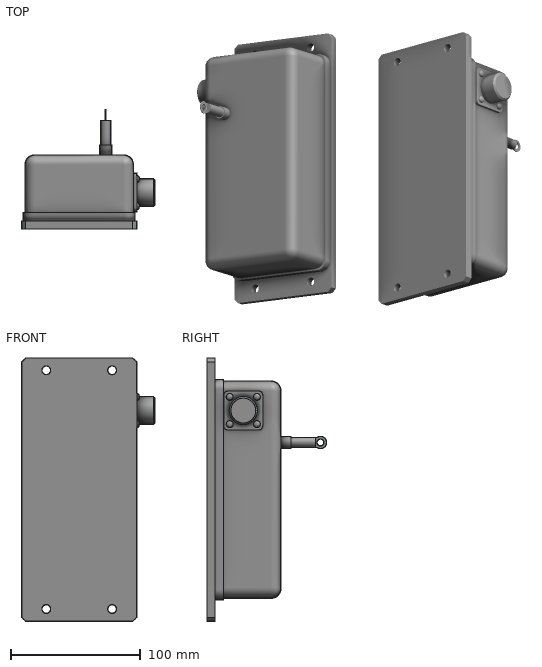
import cadquery as cq

PLATE_WIDTH = 88.9
PLATE_HEIGHT = 203.2
PLATE_THICKNESS = 6.35
PLATE_CHAMFER = 3.175
MOUNT_HOLE_DIAMETER = 6.53
MOUNT_HOLE_SPACING_X = 50.8
MOUNT_HOLE_SPACING_Z = 184.15

CASE_WIDTH = 83.82
CASE_HEIGHT = 167.64
CASE_BACK_Y = 57.15
CASE_RADIUS = 7.62
LIP_OVERHANG = 1.27
LIP_THICKNESS = 6.35

CONNECTOR_Y = 28.1
CONNECTOR_Z = 61.0
CONNECTOR_REACH = 13.97
CONNECTOR_DIAMETER = 21.74
CONNECTOR_CHAMFER = 1.27
FLANGE_SIZE = 30.0
FLANGE_CORNER_RADIUS = 3.175
FLANGE_EMBED = 1.27
SCREW_SPACING = 21.0
SCREW_HEAD_DIAMETER = 5.38
SCREW_HEAD_FLAT_DIAMETER = 1.57

CABLE_X = 20.45
CABLE_Z = 36.4
COLLAR_DIAMETER = 9.53
COLLAR_LENGTH = 7.62
CABLE_DIAMETER = 7.92
CABLE_LENGTH = 19.05
RING_DIAMETER = 9.53
RING_HOLE_DIAMETER = 5.08
RING_THICKNESS = 0.8
OVERALL_DEPTH = 92.37

FLANGE_FACE_X = PLATE_WIDTH / 2
SCREW_HEAD_RADIUS = (SCREW_HEAD_DIAMETER - SCREW_HEAD_FLAT_DIAMETER) / 2
LIP_BACK_Y = PLATE_THICKNESS + LIP_THICKNESS
COLLAR_END_Y = CASE_BACK_Y + COLLAR_LENGTH
CABLE_END_Y = COLLAR_END_Y + CABLE_LENGTH
RING_CENTER_Y = OVERALL_DEPTH - RING_DIAMETER / 2


def block_along_y(width, height, start_y, end_y):
    """Box centred on x = z = 0, running from start_y to end_y."""
    return cq.Workplane("XY").box(width, end_y - start_y, height).translate((0, (start_y + end_y) / 2, 0))


def cylinder_along_y(diameter, start_y, end_y):
    """Cylinder on the cable axis, running from start_y to end_y."""
    axis = cq.Workplane("XZ", origin=(CABLE_X, start_y, CABLE_Z))
    return axis.circle(diameter / 2).extrude(start_y - end_y)


def side_plane(x):
    """YZ work plane at the given x, centred on the connector axis."""
    return cq.Workplane("YZ", origin=(x, CONNECTOR_Y, CONNECTOR_Z))


def make_plate():
    plate = block_along_y(PLATE_WIDTH, PLATE_HEIGHT, 0, PLATE_THICKNESS)
    return plate.edges("|Y").chamfer(PLATE_CHAMFER)


def make_mount_holes():
    holes = cq.Workplane("XZ").rarray(MOUNT_HOLE_SPACING_X, MOUNT_HOLE_SPACING_Z, 2, 2)
    return holes.circle(MOUNT_HOLE_DIAMETER / 2).extrude(-PLATE_THICKNESS)


def make_case():
    lip = block_along_y(
        CASE_WIDTH + 2 * LIP_OVERHANG,
        CASE_HEIGHT + 2 * LIP_OVERHANG,
        PLATE_THICKNESS,
        LIP_BACK_Y,
    )
    lip = lip.edges("|Y").fillet(CASE_RADIUS)
    body = block_along_y(CASE_WIDTH, CASE_HEIGHT, PLATE_THICKNESS, CASE_BACK_Y)
    body = body.edges("|Y or >Y").fillet(CASE_RADIUS)
    return lip.union(body)


def make_connector():
    flange_start_x = CASE_WIDTH / 2 - FLANGE_EMBED
    flange_depth = FLANGE_FACE_X - flange_start_x
    flange = side_plane(flange_start_x).rect(FLANGE_SIZE, FLANGE_SIZE).extrude(flange_depth)
    flange = flange.edges("|X").fillet(FLANGE_CORNER_RADIUS)

    barrel = side_plane(FLANGE_FACE_X).circle(CONNECTOR_DIAMETER / 2).extrude(CONNECTOR_REACH)
    barrel = barrel.faces(">X").edges().chamfer(CONNECTOR_CHAMFER)

    screws = side_plane(flange_start_x).rarray(SCREW_SPACING, SCREW_SPACING, 2, 2)
    screws = screws.circle(SCREW_HEAD_DIAMETER / 2).extrude(flange_depth + SCREW_HEAD_RADIUS)
    screws = screws.faces(">X").edges().fillet(SCREW_HEAD_RADIUS)
    return flange.union(barrel).union(screws)


def make_cable():
    collar = cylinder_along_y(COLLAR_DIAMETER, CASE_BACK_Y, COLLAR_END_Y)
    cable = cylinder_along_y(CABLE_DIAMETER, COLLAR_END_Y, CABLE_END_Y)
    return collar.union(cable)


def make_ring_terminal():
    """Thin ring in a YZ plane, joined to the cable end by a strap as wide as the cable."""
    ring_plane = cq.Workplane("YZ", origin=(CABLE_X, RING_CENTER_Y, CABLE_Z))
    half_thickness = RING_THICKNESS / 2
    ring = ring_plane.circle(RING_DIAMETER / 2).extrude(half_thickness, both=True)
    strap_length = RING_CENTER_Y - CABLE_END_Y
    strap = ring_plane.center(-strap_length / 2, 0).rect(strap_length, CABLE_DIAMETER)
    strap = strap.extrude(half_thickness, both=True)
    hole = ring_plane.circle(RING_HOLE_DIAMETER / 2).extrude(RING_THICKNESS, both=True)
    return ring.union(strap).cut(hole)


result = (
    make_plate()
    .cut(make_mount_holes())
    .union(make_case())
    .union(make_connector())
    .union(make_cable())
    .union(make_ring_terminal())
)